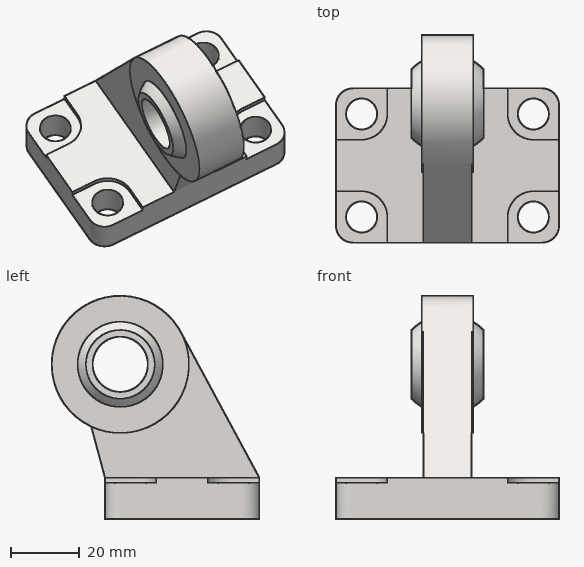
import cadquery as cq
import math

part_height = 65.0

base_length = 65.0
base_width = 45.0
base_height = 12.0
corner_radius = 5.0

hole_diameter = 9.0
hole_spacing_x = 50.0
hole_spacing_y = 29.95
seat_depth = 1.5
seat_radius = 7.5

eye_diameter = 40.0
eye_radius = eye_diameter / 2
eye_thickness = 15.0
eye_y = 18.0
eye_z = part_height - eye_radius
rib_thickness = 14.0
rib_back_angle = 15.0

bearing_width = 21.0
bearing_face_diameter = 20.0
bore_diameter = 16.0
ball_radius = math.hypot(bearing_face_diameter, bearing_width) / 2


def x_cylinder(diameter, length):
    """Cylinder along X, centred on the eye."""
    return (
        cq.Workplane("YZ")
        .workplane(offset=-length / 2)
        .center(eye_y, eye_z)
        .circle(diameter / 2)
        .extrude(length)
    )


def make_base():
    """Rounded plate with a lowered seat and a bolt hole at each corner."""
    plate = (
        cq.Workplane("XY")
        .box(base_length, base_width, base_height, centered=(True, True, False))
        .edges("|Z")
        .fillet(corner_radius)
    )
    seat_floor = cq.Workplane("XY").workplane(offset=base_height - seat_depth)
    cutter_size = 4 * seat_radius
    cutter_shift = cutter_size / 2 - seat_radius
    for side_x in (-1, 1):
        for side_y in (-1, 1):
            hole_x = side_x * hole_spacing_x / 2
            hole_y = side_y * hole_spacing_y / 2
            seat = (
                seat_floor
                .center(hole_x + side_x * cutter_shift, hole_y + side_y * cutter_shift)
                .rect(cutter_size, cutter_size)
                .extrude(base_height)
                .edges("|Z")
                .fillet(seat_radius)
            )
            hole = (
                cq.Workplane("XY")
                .center(hole_x, hole_y)
                .circle(hole_diameter / 2)
                .extrude(base_height)
            )
            plate = plate.cut(seat).cut(hole)
    return plate


def make_rib():
    """Rib with a front face tangent to the eye and a leaning back face."""
    front_y = -base_width / 2
    back_y = base_width / 2
    rise = eye_z - base_height
    run = eye_y - front_y
    distance = math.hypot(run, rise)
    tangent_length = math.sqrt(distance**2 - eye_radius**2)
    tangent_angle = math.atan2(rise, run) + math.asin(eye_radius / distance)
    tangent_y = front_y + tangent_length * math.cos(tangent_angle)
    tangent_z = base_height + tangent_length * math.sin(tangent_angle)
    back_top_y = back_y + rise * math.tan(math.radians(rib_back_angle))
    return (
        cq.Workplane("YZ")
        .moveTo(front_y, base_height)
        .lineTo(tangent_y, tangent_z)
        .lineTo(eye_y, eye_z)
        .lineTo(back_top_y, eye_z)
        .lineTo(back_y, base_height)
        .close()
        .extrude(rib_thickness / 2, both=True)
    )


def make_bearing():
    """Ball with its two sides cut flat."""
    half_width = bearing_width / 2
    face_radius = bearing_face_diameter / 2
    return (
        cq.Workplane("XY")
        .moveTo(-half_width, 0)
        .lineTo(-half_width, face_radius)
        .threePointArc((0, ball_radius), (half_width, face_radius))
        .lineTo(half_width, 0)
        .close()
        .revolve(360, (0, 0, 0), (1, 0, 0))
        .translate((0, eye_y, eye_z))
    )


eye = x_cylinder(eye_diameter, eye_thickness)
bore = x_cylinder(bore_diameter, bearing_width)
result = make_base().union(make_rib()).union(eye).union(make_bearing()).cut(bore)